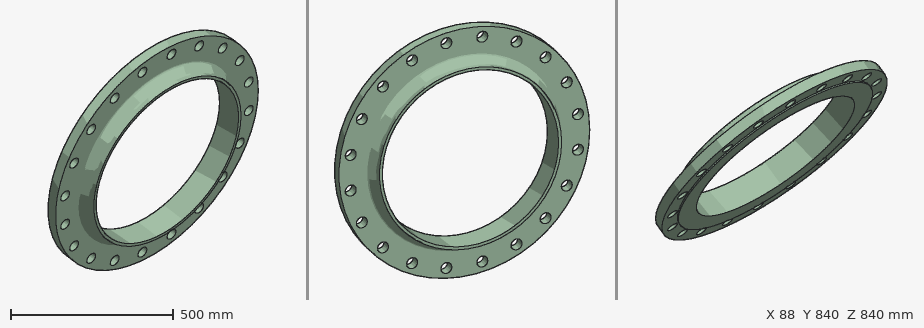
import cadquery as cq

outer_diameter = 840
bore_diameter = 590.0
total_length = 88.0

raised_face_diameter = 725.0
raised_face_height = 5.0
plate_thickness = 35.0

neck_base_diameter = 650.0
weld_end_diameter = 610.0
weld_end_length = 18.0
neck_fillet = 10.0

bolt_count = 20
bolt_circle_diameter = 770.0
bolt_hole_diameter = 36.0

plate_back = raised_face_height + plate_thickness
cone_end = total_length - weld_end_length


def disc(diameter, start, length):
    """Solid cylinder along X beginning at x = start."""
    return cq.Workplane("YZ", origin=(start, 0, 0)).circle(diameter / 2).extrude(length)


def flange_body():
    """Plate, tapered neck and weld end revolved about X as one solid of revolution."""
    profile = (
        cq.Workplane("XY")
        .moveTo(raised_face_height, 0)
        .lineTo(raised_face_height, outer_diameter / 2)
        .lineTo(plate_back, outer_diameter / 2)
        .lineTo(plate_back, neck_base_diameter / 2)
        .lineTo(cone_end, weld_end_diameter / 2)
        .lineTo(total_length, weld_end_diameter / 2)
        .lineTo(total_length, 0)
        .close()
    )
    body = profile.revolve(360, (0, 0, 0), (1, 0, 0))
    neck_base_edge = cq.selectors.RadiusNthSelector(-2)
    neck_end_edge = cq.selectors.BoxSelector(
        (cone_end - neck_fillet / 2, -outer_diameter, -outer_diameter),
        (cone_end + neck_fillet / 2, outer_diameter, outer_diameter),
    )
    body = body.edges("%CIRCLE").edges(neck_base_edge).fillet(neck_fillet)
    return body.edges("%CIRCLE").edges(neck_end_edge).fillet(neck_fillet)


def bolt_holes():
    """Ring of through holes straddling the Y and Z axes."""
    pitch_angle = 360 / bolt_count
    return (
        cq.Workplane("YZ")
        .polarArray(bolt_circle_diameter / 2, pitch_angle / 2, 360, bolt_count)
        .circle(bolt_hole_diameter / 2)
        .extrude(total_length)
    )


raised_face = disc(raised_face_diameter, 0, plate_back)
bore = disc(bore_diameter, 0, total_length)

result = flange_body().union(raised_face).cut(bore).cut(bolt_holes())